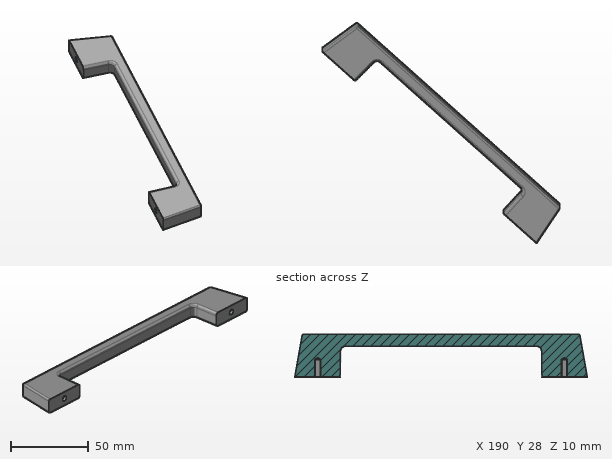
import cadquery as cq
import math

length = 190.0
depth = 28.0
height = 10.0

end_taper = 5.0
foot_width = 29.6
leg_flare = 0.4
grip_thickness = 8.0

inner_corner_radius = 3.0
inner_edge_radius = 1.9
outer_edge_radius = 1.1

hole_diameter = 3.5
hole_depth = 11.4
hole_from_end = 15.0
drill_tip_angle = 118

half_length = length / 2
half_height = height / 2
back_half = half_length - end_taper
foot_inner = half_length - foot_width
grip_inner = foot_inner - leg_flare
grip_front = depth - grip_thickness


def make_blank():
    """Solid trapezoid with every edge rounded except those of the mounting face."""
    outline = [(-half_length, 0), (half_length, 0), (back_half, depth), (-back_half, depth)]
    blank = cq.Workplane("XY").workplane(offset=-half_height).polyline(outline).close().extrude(height)
    return blank.edges("not <Y").fillet(outer_edge_radius)


def cut_finger_opening(body):
    """Opening between the legs, with rounded corners and softened rims."""
    outline = [(-foot_inner, 0), (foot_inner, 0), (grip_inner, grip_front), (-grip_inner, grip_front)]
    opening = cq.Workplane("XY").workplane(offset=-half_height).polyline(outline).close().extrude(height)
    opening = opening.edges("|Z and >Y").fillet(inner_corner_radius)
    rim_margin = 0.2
    rim = cq.selectors.BoxSelector(
        (-foot_inner - rim_margin, -rim_margin, -height),
        (foot_inner + rim_margin, grip_front + rim_margin, height),
        boundingbox=True,
    )
    rim_edges = body.cut(opening).edges(rim).edges("#Z").edges("not <Y")
    return rim_edges.fillet(inner_edge_radius)


def cut_screw_holes(body):
    """Blind screw hole with a conical drill tip in each foot."""
    hole_radius = hole_diameter / 2
    tip_depth = hole_depth + hole_radius / math.tan(math.radians(drill_tip_angle / 2))
    drill_profile = [(0, 0), (hole_radius, 0), (hole_radius, hole_depth), (0, tip_depth)]
    drill = cq.Workplane("XY").polyline(drill_profile).close().revolve(360, (0, 0, 0), (0, 1, 0))
    hole_x = half_length - hole_from_end
    for x in (-hole_x, hole_x):
        body = body.cut(drill.translate((x, 0, 0)))
    return body


result = cut_screw_holes(cut_finger_opening(make_blank()))